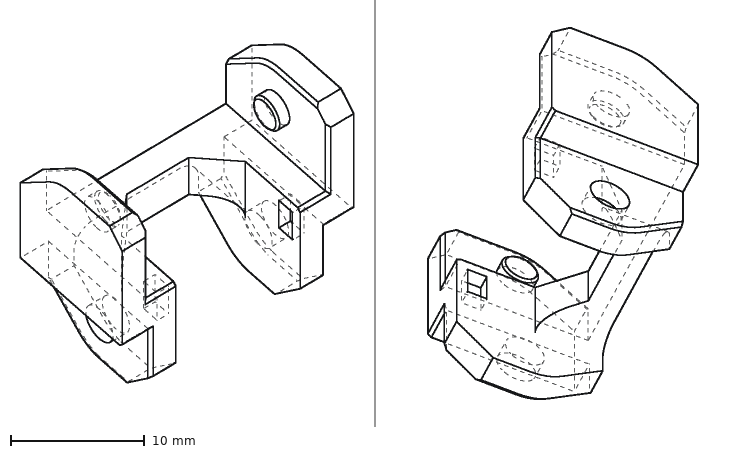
import cadquery as cq
import math

depth = 12.0
width = 22.4
height = 20.0

ear_thickness = 2.5
ear_bottom = 8.1
web_top = 11.55
leg_outer_width = 16.98
leg_inner_width = 12.0
arch_top = 7.55
arch_radius = 2.0
ear_inner_y = width / 2 - ear_thickness
leg_outer_y = leg_outer_width / 2
leg_inner_y = leg_inner_width / 2

end_radius = 4.0
slope_angle = math.radians(40)
ear_corner = 1.5
leg_corner = 3.0
edge_chamfer = 0.3
pivot_x = depth / 2
pin_z = height - end_radius
socket_z = end_radius

pin_diameter = 3.0
pin_length = 1.16
pin_chamfer = 0.2
socket_diameter = 3.2
socket_depth = 1.6

opening_x = 2.55
opening_corner = 3.0

pocket_start_x = 9.52
pocket_length = 1.6
pocket_bottom = 7.6
pocket_height = 2.95
pocket_depth = 1.1


def side_outline(inset):
    """Side outline in XZ, pulled in by inset except at x = 0 and the 45 degree corners."""
    radius = end_radius - inset
    right = depth - inset
    top = height - inset
    tangent_x = pivot_x - radius * math.sin(slope_angle)
    tangent_rise = radius * math.cos(slope_angle)
    middle_x = pivot_x - radius * math.sin(slope_angle / 2)
    middle_rise = radius * math.cos(slope_angle / 2)
    start_rise = tangent_rise - tangent_x * math.tan(slope_angle)
    ear_cut = ear_corner - 2 * inset
    leg_cut = leg_corner - 2 * inset
    return (
        cq.Workplane("XZ")
        .moveTo(0, pin_z + start_rise)
        .lineTo(tangent_x, pin_z + tangent_rise)
        .threePointArc((middle_x, pin_z + middle_rise), (pivot_x, top))
        .lineTo(right - ear_cut, top)
        .lineTo(right, top - ear_cut)
        .lineTo(right, inset + leg_cut)
        .lineTo(right - leg_cut, inset)
        .lineTo(pivot_x, inset)
        .threePointArc((middle_x, socket_z - middle_rise), (tangent_x, socket_z - tangent_rise))
        .lineTo(0, socket_z - start_rise)
        .close()
    )


def beveled_plate(square_y, bevel_y):
    """Plate with the side outline, square at square_y and beveled at bevel_y."""
    direction = math.copysign(1, bevel_y - square_y)
    bevel_start = bevel_y - direction * edge_chamfer
    plate = side_outline(0).extrude(square_y - bevel_start).translate((0, square_y, 0))
    full_wire = side_outline(0).val().translate(cq.Vector(0, bevel_start, 0))
    inset_wire = side_outline(edge_chamfer).val().translate(cq.Vector(0, bevel_y, 0))
    bevel = cq.Solid.makeLoft([full_wire, inset_wire], True)
    return plate.union(cq.Workplane(obj=bevel))


def block(x_range, y_range, z_range):
    """Box between the given limits."""
    size = [limits[1] - limits[0] for limits in (x_range, y_range, z_range)]
    return cq.Workplane("XY").box(*size, centered=False).translate((x_range[0], y_range[0], z_range[0]))


def web():
    """Bar between the ears, beveled at its back edges."""
    return (
        cq.Workplane("XZ")
        .moveTo(0, ear_bottom)
        .lineTo(depth - edge_chamfer, ear_bottom)
        .lineTo(depth, ear_bottom + edge_chamfer)
        .lineTo(depth, web_top - edge_chamfer)
        .lineTo(depth - edge_chamfer, web_top)
        .lineTo(0, web_top)
        .close()
        .extrude(width / 2, both=True)
    )


def half():
    """Ear, leg, pin and socket on the +Y side."""
    ear = beveled_plate(width / 2, ear_inner_y)
    ear = ear.intersect(block((0, depth), (0, width / 2), (web_top - edge_chamfer, height)))
    leg = beveled_plate(leg_inner_y, leg_outer_y)
    leg = leg.intersect(block((0, depth), (0, width / 2), (0, ear_bottom + edge_chamfer)))
    pin = (
        cq.Workplane("XZ", origin=(pivot_x, ear_inner_y, pin_z))
        .circle(pin_diameter / 2)
        .extrude(pin_length)
        .faces("<Y")
        .chamfer(pin_chamfer)
    )
    socket = (
        cq.Workplane("XZ", origin=(pivot_x, leg_outer_y, socket_z))
        .circle(socket_diameter / 2)
        .extrude(socket_depth)
    )
    return ear.union(leg).union(pin).cut(socket)


def arch_filler():
    """Material above the arch between the legs, with concave rounded corners."""
    filler = block((0, depth), (-leg_inner_y, leg_inner_y), (arch_top - arch_radius, ear_bottom))
    clearance = block((0, depth), (-leg_inner_y, leg_inner_y), (0, arch_top))
    return filler.cut(clearance.edges("|X and >Z").fillet(arch_radius))


def opening():
    """Through opening, open at the back, with 45 degree inner corners."""
    return (
        cq.Workplane("XY")
        .moveTo(depth, -leg_inner_y)
        .lineTo(opening_x + opening_corner, -leg_inner_y)
        .lineTo(opening_x, opening_corner - leg_inner_y)
        .lineTo(opening_x, leg_inner_y - opening_corner)
        .lineTo(opening_x + opening_corner, leg_inner_y)
        .lineTo(depth, leg_inner_y)
        .close()
        .extrude(height)
    )


side = half()
pocket = block(
    (pocket_start_x, pocket_start_x + pocket_length),
    (leg_inner_y, leg_inner_y + pocket_depth),
    (pocket_bottom, pocket_bottom + pocket_height),
)
body = web().union(arch_filler()).union(side).union(side.mirror("XZ"))
result = body.cut(opening()).cut(pocket).cut(pocket.mirror("XZ"))